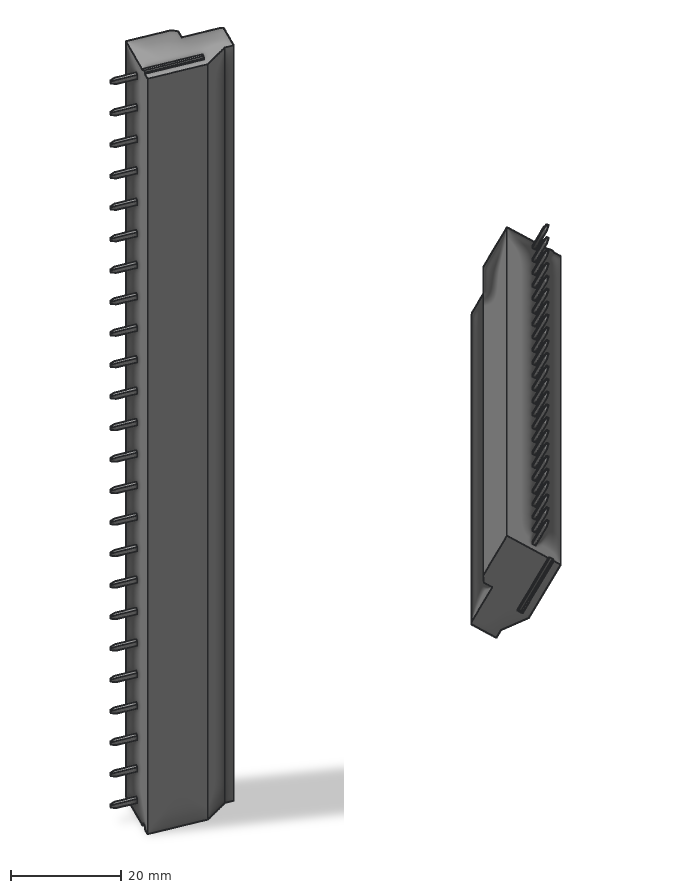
import cadquery as cq

total_height = 180.6
total_depth = 23.0
body_width = 11.2

rail_height = 0.6
groove_depth = 0.81
rail_width = 1.0
rail_edge_chamfer = 0.27
rail_left_x = 3.0
rail_back_y = 5.0

neck_left_x = -3.0
neck_right_x = 2.3
neck_chamfer_width = 0.2
neck_chamfer_depth = 0.5
shoulder_y = 3.5
shoulder_chamfer_width = 0.7
shoulder_chamfer_depth = 1.0
slope_back_y = 9.8
slope_front_y = 5.2

pin_count = 24
pin_length = 5.0
pin_width = 0.7
pin_height = 1.0
pin_tip_length = 0.9
pin_tip_scale = 0.5

half_width = body_width / 2
back_y = total_depth / 2
pin_tip_y = -back_y
front_y = pin_tip_y + pin_length
bottom_z = -total_height / 2
body_height = total_height - rail_height
body_top_z = bottom_z + body_height
pin_pitch = body_height / pin_count


def make_housing():
    """Stepped profile with a sloped right shoulder, extruded along Z."""
    outline = [
        (-half_width, front_y),
        (half_width, front_y),
        (half_width, slope_front_y),
        (neck_right_x, slope_back_y),
        (neck_right_x, back_y),
        (neck_left_x + neck_chamfer_width, back_y),
        (neck_left_x, back_y - neck_chamfer_depth),
        (neck_left_x, shoulder_y),
        (-half_width + shoulder_chamfer_width, shoulder_y),
        (-half_width, shoulder_y - shoulder_chamfer_depth),
    ]
    return cq.Workplane("XY", origin=(0, 0, bottom_z)).polyline(outline).close().extrude(body_height)


def make_rail(base_z, height):
    """Bar along Y, flush with the front face, with its long upper edges chamfered."""
    length = rail_back_y - front_y
    bar = cq.Workplane("XY").box(rail_width, length, height, centered=False)
    bar = bar.edges("|Y and >Z").chamfer(rail_edge_chamfer)
    return bar.translate((rail_left_x, front_y, base_z))


def make_pin(center_z):
    """Rectangular pin along -Y with a tapered tip."""
    tip_start_y = pin_tip_y + pin_tip_length
    shank = (
        cq.Workplane("XZ", origin=(0, front_y, center_z))
        .rect(pin_width, pin_height)
        .extrude(front_y - tip_start_y)
    )
    tip = (
        cq.Workplane("XZ", origin=(0, tip_start_y, center_z))
        .rect(pin_width, pin_height)
        .workplane(offset=pin_tip_length)
        .rect(pin_width * pin_tip_scale, pin_height * pin_tip_scale)
        .loft(ruled=True)
    )
    return shank.union(tip)


rail = make_rail(body_top_z, rail_height)
groove = make_rail(bottom_z, groove_depth)
result = make_housing().union(rail).cut(groove)

for index in range(pin_count):
    result = result.union(make_pin(bottom_z + pin_pitch * (index + 0.5)))